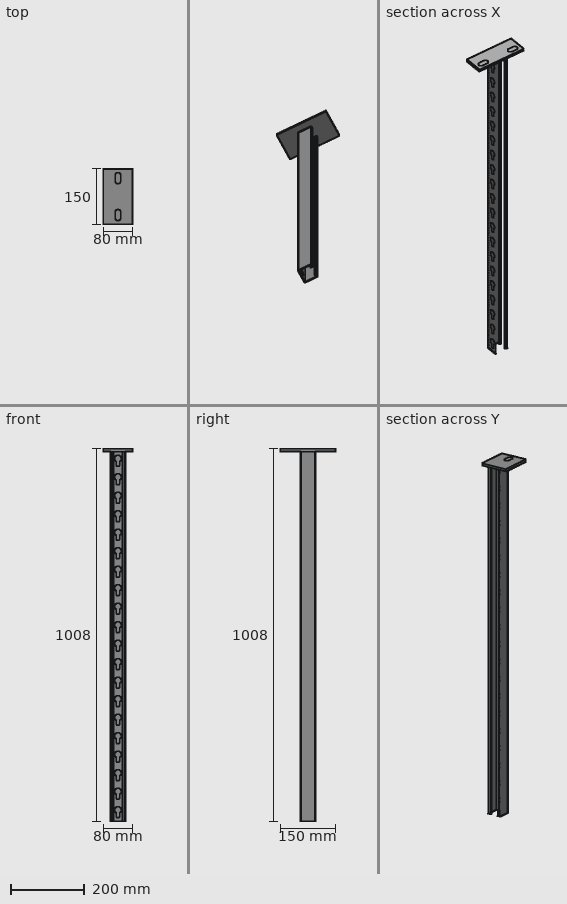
import cadquery as cq
import math

recess_depth = 0.2

plate_width = 80.0
plate_depth = 150.0
plate_thickness = 8.0
plate_slot_length = 30.0
plate_slot_width = 15.0
plate_slot_spacing = 100.0

total_height = 1008.0
channel_length = total_height - plate_thickness
channel_size = 41.0
wall = 2.5
bend_radius = 2.5
opening_width = 22.0
lip_return = 7.0

keyhole_count = 20
keyhole_pitch = channel_length / keyhole_count
keyhole_height = 30.0
keyhole_wide_radius = 9.0
keyhole_narrow_radius = 4.5


def make_plate():
    """Flat plate with two shallow slot recesses, resting on the end of the channel."""
    plate = cq.Workplane("XY").workplane(offset=channel_length)
    plate = plate.rect(plate_width, plate_depth).extrude(plate_thickness)
    return (
        plate.faces(">Z").workplane(centerOption="CenterOfBoundBox")
        .rarray(10, plate_slot_spacing, 1, 2)
        .slot2D(plate_slot_length, plate_slot_width, angle=90)
        .cutBlind(-recess_depth)
    )


def make_channel_body():
    """Square tube with rounded outer edges, opened at -Y between two inward lips."""
    cavity_size = channel_size - 2 * wall
    front = -channel_size / 2
    tube = cq.Workplane("XY").rect(channel_size, channel_size).extrude(channel_length)
    tube = tube.edges("|Z").fillet(bend_radius)
    cavity = cq.Workplane("XY").rect(cavity_size, cavity_size).extrude(channel_length)
    body = tube.cut(cavity)

    lip_width = opening_width + 2 * wall
    lips = (
        cq.Workplane("XY").center(0, front + lip_return / 2)
        .rect(lip_width, lip_return).extrude(channel_length)
    )
    opening = (
        cq.Workplane("XY").center(0, front + lip_return / 2)
        .rect(opening_width, lip_return).extrude(channel_length)
    )
    body = body.union(lips).cut(opening)
    rim = cq.selectors.BoxSelector(
        (-opening_width / 2 - wall / 2, front - wall / 2, 0),
        (opening_width / 2 + wall / 2, front + wall / 2, channel_length),
    )
    return body.edges("|Z").edges(rim).fillet(bend_radius)


def make_keyhole_cutter(center_height):
    """Keyhole recess in the inner face of the back wall: wide round top, narrow slot below."""
    wide_center = center_height + keyhole_height / 2 - keyhole_wide_radius
    narrow_center = center_height - keyhole_height / 2 + keyhole_narrow_radius
    neck_rise = math.sqrt(keyhole_wide_radius**2 - keyhole_narrow_radius**2)
    neck = wide_center - neck_rise
    inner_face = channel_size / 2 - wall
    profile = (
        cq.Workplane("XZ", origin=(0, inner_face + recess_depth, 0))
        .moveTo(-keyhole_narrow_radius, neck)
        .threePointArc(
            (0, wide_center + keyhole_wide_radius), (keyhole_narrow_radius, neck)
        )
        .lineTo(keyhole_narrow_radius, narrow_center)
        .threePointArc(
            (0, narrow_center - keyhole_narrow_radius), (-keyhole_narrow_radius, narrow_center)
        )
        .close()
    )
    return profile.extrude(recess_depth)


def make_channel():
    """Channel with a row of evenly spaced keyhole recesses."""
    channel = make_channel_body()
    for index in range(keyhole_count):
        channel = channel.cut(make_keyhole_cutter((index + 0.5) * keyhole_pitch))
    return channel


plate = make_plate()
channel = make_channel()
result = cq.Compound.makeCompound([plate.val(), channel.val()])